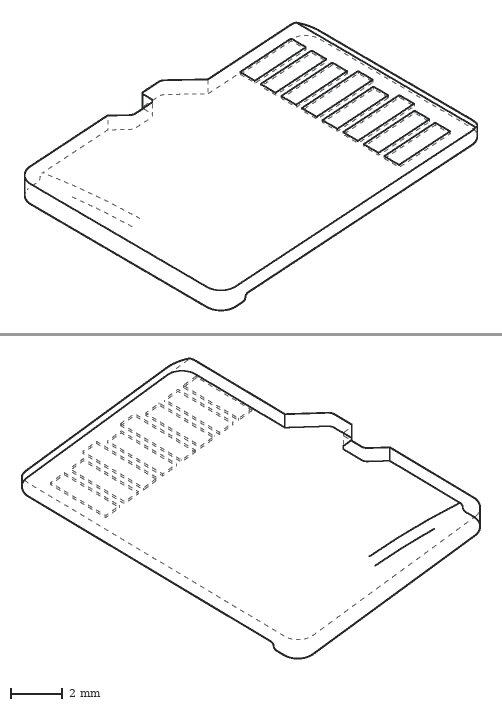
import cadquery as cq
import math

CARD_WIDTH = 11.0
CARD_LENGTH = 15.0
CARD_HEIGHT = 1.0
LIP_DROP = 0.3
CORNER_RADIUS = 0.8

SHOULDER_DEPTH = 1.29
SHOULDER_Y = 9.52
SHOULDER_RADIUS = 0.36
EAR_BOTTOM_Y = 7.11
EAR_TIP_RADIUS = 0.1
NOTCH_DEPTH = 0.7
NOTCH_START_Y = 5.19
NOTCH_TOP_RADIUS = 0.2
NOTCH_FLANK_RADIUS = 0.36

BEVEL_LENGTH = 0.52
BEVEL_ANGLE = 30.0

LIP_SIDE_Y = 1.35
LIP_MIDDLE_Y = 1.86
LIP_TURN_RADIUS = LIP_DROP / 2

PAD_COUNT = 8
LONG_PADS = (3, 5)
PAD_WIDTH = 0.8
PAD_THICKNESS = 0.1
FIRST_PAD_X = 1.89
LAST_PAD_GAP = 0.6
LAST_PAD_X = CARD_WIDTH - LAST_PAD_GAP - PAD_WIDTH
PAD_PITCH = (LAST_PAD_X - FIRST_PAD_X) / (PAD_COUNT - 1)
PAD_BOTTOM_Y = CARD_LENGTH - 4.29
PAD_TOP_Y = CARD_LENGTH - 1.4
LONG_PAD_TOP_Y = CARD_LENGTH - 1.1

OVERCUT = 0.75


def card_blank():
    """Full-height plate with the card's outline and rounded corners."""
    ear_top = (0, SHOULDER_Y - SHOULDER_DEPTH)
    ear_tip = (0, EAR_BOTTOM_Y)
    notch_top = (NOTCH_DEPTH, EAR_BOTTOM_Y)
    notch_bottom = (NOTCH_DEPTH, NOTCH_START_Y + NOTCH_DEPTH)
    outer_corners = [
        (0, 0),
        (CARD_WIDTH, 0),
        (CARD_WIDTH, CARD_LENGTH),
        (SHOULDER_DEPTH, CARD_LENGTH),
    ]
    outline = outer_corners + [
        (SHOULDER_DEPTH, SHOULDER_Y),
        ear_top,
        ear_tip,
        notch_top,
        notch_bottom,
        (0, NOTCH_START_Y),
    ]
    corner_radii = [(corner, CORNER_RADIUS) for corner in outer_corners] + [
        (ear_top, SHOULDER_RADIUS),
        (ear_tip, EAR_TIP_RADIUS),
        (notch_top, NOTCH_TOP_RADIUS),
        (notch_bottom, NOTCH_FLANK_RADIUS),
    ]
    blank = cq.Workplane("XY").polyline(outline).close().extrude(CARD_HEIGHT)
    for (x, y), radius in corner_radii:
        upright_edge = cq.NearestToPointSelector((x, y, CARD_HEIGHT / 2))
        blank = blank.edges("|Z").edges(upright_edge).fillet(radius)
    return blank


def underside_relief():
    """Space below the thin part of the card, in front of the grip lip."""
    half_width = CARD_WIDTH / 2
    bow = LIP_MIDDLE_Y - LIP_SIDE_Y
    bow_radius = (half_width**2 + bow**2) / (2 * bow)
    foot_start = (bow_radius - LIP_TURN_RADIUS, 0)
    rim_middle = (bow_radius, LIP_TURN_RADIUS)
    root_end = (bow_radius + LIP_TURN_RADIUS, LIP_DROP)
    lip_disc = (
        cq.Workplane("XZ")
        .lineTo(*foot_start)
        .tangentArcPoint(rim_middle, relative=False)
        .radiusArc(root_end, LIP_TURN_RADIUS)
        .lineTo(0, LIP_DROP)
        .close()
        .revolve(360, (0, 0), (0, 1))
        .translate((half_width, LIP_MIDDLE_Y - bow_radius, 0))
    )
    return (
        cq.Workplane("XY")
        .box(CARD_WIDTH + 2 * OVERCUT, CARD_LENGTH + OVERCUT, LIP_DROP, centered=False)
        .translate((-OVERCUT, 0, 0))
        .cut(lip_disc)
    )


def end_bevel():
    """Wedge removed from the top of the contact end."""
    bevel_drop = BEVEL_LENGTH * math.tan(math.radians(BEVEL_ANGLE))
    return (
        cq.Workplane("YZ")
        .moveTo(CARD_LENGTH - BEVEL_LENGTH, CARD_HEIGHT)
        .lineTo(CARD_LENGTH, CARD_HEIGHT)
        .lineTo(CARD_LENGTH, CARD_HEIGHT - bevel_drop)
        .close()
        .extrude(CARD_WIDTH)
    )


def contact_pad(index):
    """One flush contact pad, counted from the -X side."""
    left_x = FIRST_PAD_X + index * PAD_PITCH
    top_y = LONG_PAD_TOP_Y if index in LONG_PADS else PAD_TOP_Y
    return (
        cq.Workplane("XY")
        .box(PAD_WIDTH, top_y - PAD_BOTTOM_Y, PAD_THICKNESS, centered=False)
        .translate((left_x, PAD_BOTTOM_Y, CARD_HEIGHT - PAD_THICKNESS))
    )


contact_pads = [contact_pad(index) for index in range(PAD_COUNT)]

card = card_blank().cut(underside_relief()).cut(end_bevel())
for pad in contact_pads:
    card = card.cut(pad)

result = cq.Compound.makeCompound([card.solids().val(), *[pad.val() for pad in contact_pads]])